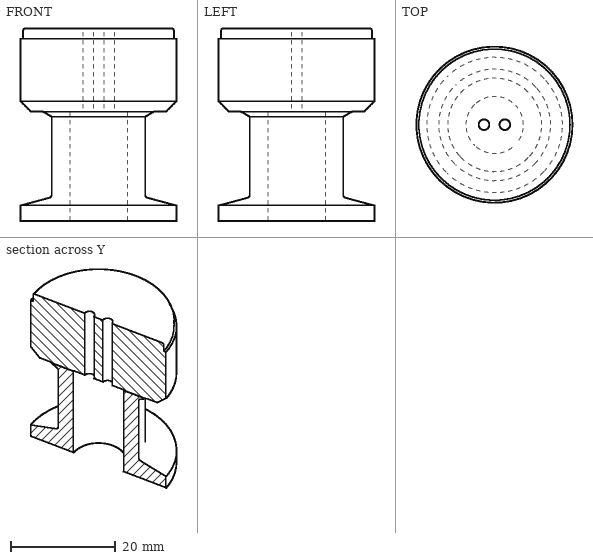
import cadquery as cq
import math

total_height = 37.0
head_bottom = 21.0
flare_bottom = 20.0

flange_diameter = 30.0
flange_rim_height = 3.0
flange_slope_angle = 15.0
neck_diameter = 18.0
neck_foot_fillet = 0.5
flare_angle = 30.0
bore_diameter = 11.0

head_diameter = flange_diameter
head_chamfer = 2.0
crown_diameter = 29.0
crown_height = 2.0
crown_fillet = 0.5
hole_diameter = 2.0
hole_spacing = 4.0


def make_stem():
    """Flanged tube whose neck flares out where it meets the head."""
    flange_radius = flange_diameter / 2
    neck_radius = neck_diameter / 2
    bore_radius = bore_diameter / 2
    slope_rise = (flange_radius - neck_radius) * math.tan(math.radians(flange_slope_angle))
    neck_foot = flange_rim_height + slope_rise
    flare_width = (head_bottom - flare_bottom) / math.tan(math.radians(flare_angle))

    profile = (
        cq.Workplane("XZ")
        .moveTo(bore_radius, 0)
        .lineTo(flange_radius, 0)
        .lineTo(flange_radius, flange_rim_height)
        .lineTo(neck_radius, neck_foot)
        .lineTo(neck_radius, flare_bottom)
        .lineTo(neck_radius + flare_width, head_bottom)
        .lineTo(bore_radius, head_bottom)
        .close()
    )
    stem = profile.revolve(360, (0, 0, 0), (0, 1, 0))

    foot_edge = cq.selectors.BoxSelector(
        (-flange_radius, -flange_radius, neck_foot - neck_foot_fillet),
        (flange_radius, flange_radius, neck_foot + neck_foot_fillet),
        boundingbox=True,
    )
    return stem.edges(foot_edge).fillet(neck_foot_fillet)


def make_head():
    """Chamfered cylinder with a rounded crown and two through holes."""
    crown_bottom = total_height - crown_height
    body = (
        cq.Workplane("XY", origin=(0, 0, head_bottom))
        .circle(head_diameter / 2)
        .extrude(crown_bottom - head_bottom)
        .faces("<Z").edges().chamfer(head_chamfer)
    )
    crown = (
        cq.Workplane("XY", origin=(0, 0, crown_bottom))
        .circle(crown_diameter / 2)
        .extrude(crown_height)
        .faces(">Z").edges().fillet(crown_fillet)
    )
    holes = (
        cq.Workplane("XY", origin=(0, 0, head_bottom))
        .pushPoints([(-hole_spacing / 2, 0), (hole_spacing / 2, 0)])
        .circle(hole_diameter / 2)
        .extrude(total_height - head_bottom)
    )
    return body.union(crown).cut(holes)


stem = make_stem()
head = make_head()

result = cq.Compound.makeCompound([stem.solids().val(), head.solids().val()])